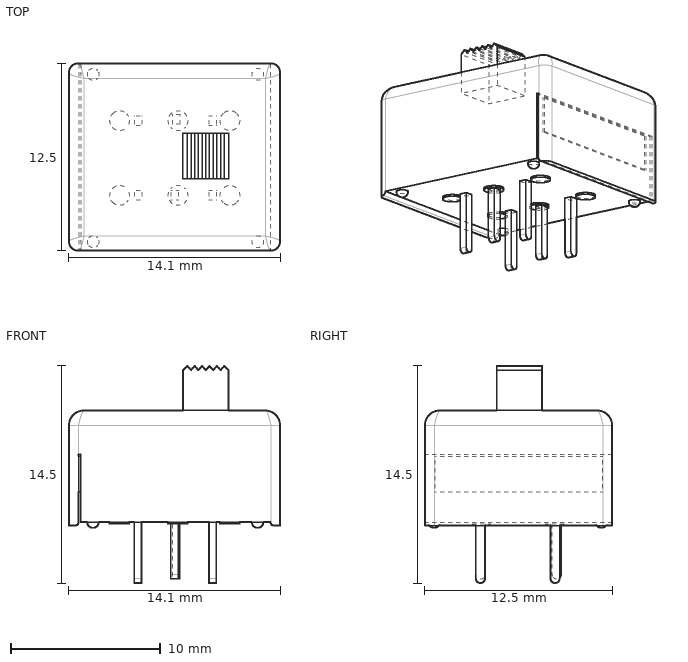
import cadquery as cq


overall_height = 14.49

length = 14.1
width = 12.5
wall_height = 7.45
top_radius = 1.0
corner_radius = 0.62
end_wall = 0.65
skirt_drop = 0.23
skirt_radius = 0.22

slit_width = 0.13
slit_top = 4.52
tab_top = 4.4
tab_bottom = 2.01
tab_recess = end_wall

knob_size = 3.05
knob_x = 2.09
knob_y = 0.06
knob_height = 2.97
tooth_count = 6
tooth_pitch = 0.49
tooth_height = 0.28

base_x = 0.05
base_y = -0.05

pin_pitch = 2.49
row_spacing = 4.98
pin_thickness = 0.5
pin_width = 0.62
outer_pin_length = overall_height - wall_height - knob_height
middle_pin_length = 3.78
middle_pin_offset = 0.05
rear_middle_pin_shift = 0.1

foot_radius = 0.39
foot_spacing_x = 10.98
foot_spacing_y = 11.16
pad_diameter = 1.32
pad_height = 0.123
pad_pitch = 3.68
middle_pad_x = 0.22

embed = 0.15


def block(x_start, x_end, y_start, y_end, z_start, z_end):
    """Axis-aligned box between the given limits."""
    size = (x_end - x_start, y_end - y_start, z_end - z_start)
    return cq.Workplane("XY").box(*size, centered=False).translate((x_start, y_start, z_start))


def make_housing():
    """Rounded box whose two end walls reach below the underside."""
    body = (
        cq.Workplane("XY", origin=(0, 0, -skirt_drop))
        .rect(length, width)
        .extrude(wall_height + skirt_drop)
        .edges("|Z").fillet(corner_radius)
        .faces(">Z").edges().fillet(top_radius)
    )
    half_gap = length / 2 - end_wall
    gap = block(-half_gap, half_gap, -width / 2, width / 2, -skirt_drop, 0)
    body = body.cut(gap)
    inner_feet = cq.selectors.BoxSelector(
        (-half_gap - embed, -width, -skirt_drop - embed / 2),
        (half_gap + embed, width, -skirt_drop + embed / 2),
    )
    return body.edges("|Y").edges(inner_feet).fillet(skirt_radius)


def make_slit():
    """Slit through the housing along Y, less the tab left inside it."""
    x_start = -length / 2 + end_wall
    x_end = x_start + slit_width
    slit = block(x_start, x_end, -width / 2, width / 2, -skirt_drop, slit_top)
    tab_end = width / 2 - tab_recess
    tab = block(x_start, x_end, -tab_end, tab_end, tab_bottom, tab_top)
    return slit.cut(tab)


def make_knob():
    """Square post with a row of teeth running along Y on its top."""
    tip_z = wall_height + knob_height
    valley_z = tip_z - tooth_height
    left = knob_x - knob_size / 2
    right = knob_x + knob_size / 2
    first_tip = knob_x - tooth_pitch * (tooth_count - 1) / 2

    points = [(left, wall_height - embed), (left, valley_z)]
    for tooth in range(tooth_count):
        tip_x = first_tip + tooth * tooth_pitch
        points.append((tip_x, tip_z))
        if tooth < tooth_count - 1:
            points.append((tip_x + tooth_pitch / 2, valley_z))
    points += [(right, valley_z), (right, wall_height - embed)]

    profile = cq.Workplane("XZ", origin=(0, knob_y, 0)).polyline(points).close()
    return profile.extrude(knob_size / 2, both=True)


def make_pin(x, y, pin_length):
    """Flat terminal with a round lower end."""
    half_width = pin_width / 2
    round_start = half_width - pin_length
    return (
        cq.Workplane("YZ", origin=(x, y, 0))
        .moveTo(-half_width, embed)
        .lineTo(-half_width, round_start)
        .threePointArc((0, -pin_length), (half_width, round_start))
        .lineTo(half_width, embed)
        .close()
        .extrude(pin_thickness / 2, both=True)
    )


def add_pins(body):
    front_y = base_y - row_spacing / 2
    rear_y = base_y + row_spacing / 2
    for y in (front_y, rear_y):
        for x in (base_x - pin_pitch, base_x + pin_pitch):
            body = body.union(make_pin(x, y, outer_pin_length))
    body = body.union(make_pin(base_x - middle_pin_offset, front_y, middle_pin_length))
    rear_middle_y = rear_y + rear_middle_pin_shift
    return body.union(make_pin(base_x + middle_pin_offset, rear_middle_y, middle_pin_length))


def add_feet(body):
    """Round feet, half sunk, near the four corners."""
    for x_side in (-1, 1):
        for y_side in (-1, 1):
            x = base_x + x_side * foot_spacing_x / 2
            y = base_y + y_side * foot_spacing_y / 2
            body = body.union(cq.Workplane("XY").sphere(foot_radius).translate((x, y, 0)))
    return body


def add_pads(body):
    """Shallow round pads in line with the two rows of terminals."""
    for y_side in (-1, 1):
        y = base_y + y_side * row_spacing / 2
        for x in (-pad_pitch, middle_pad_x, pad_pitch):
            pad = cq.Workplane("XY", origin=(x, y, -pad_height)).circle(pad_diameter / 2)
            body = body.union(pad.extrude(pad_height + embed))
    return body


housing = make_housing().cut(make_slit()).union(make_knob())
result = add_pads(add_feet(add_pins(housing)))